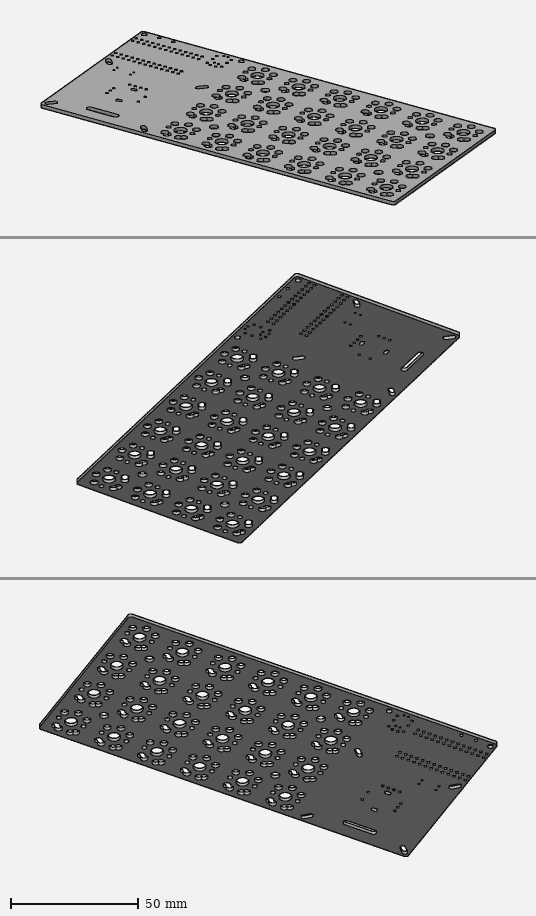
import cadquery as cq
import math

BOARD_LENGTH = 163.96
BOARD_WIDTH = 76.2
BOARD_THICKNESS = 1.58
CORNER_RADIUS = 1.27

KEY_PITCH = 19.05
KEY_COLUMNS = 6
KEY_ROWS = 4
LAST_COLUMN_X = BOARD_LENGTH / 2 - KEY_PITCH / 2
FIRST_COLUMN_X = LAST_COLUMN_X - (KEY_COLUMNS - 1) * KEY_PITCH
TOP_ROW_Y = (KEY_ROWS - 1) * KEY_PITCH / 2

STEM_DIAMETER = 5.1
PEG_DIAMETER = 1.9
PEG_OFFSET = 5.5
SOCKET_DIAMETER = 3.05
SOCKET_CENTRE_OFFSET = (0, 5.9)
SOCKET_SIDE_OFFSET = (5.0, 3.8)
LOWER_SOCKET_OUTER_OFFSET = (4.4, -4.7)
LOWER_SOCKET_INNER_OFFSET = (2.6, -5.75)

SCREW_DIAMETER = 3.5
SCREW_COLUMN_GAPS = (0, 4)
SCREW_ROW_GAPS = (0, 2)

PIN_PITCH = 2.54
HEADER_PINS = 13
HEADER_DIAMETER = 1.09
HEADER_FIRST_X = -80.55
HEADER_TOP_Y = 31.24
HEADER_ROW_SPACING = 15.24

ENCODER_X = -57.27
ENCODER_Y = -13.3
ENCODER_PIN_DIAMETER = 1.0
ENCODER_PIN_SPACING = 2.5
ENCODER_SIGNAL_OFFSET = 7.5
ENCODER_SWITCH_OFFSET = 7.0
ENCODER_TAB_OFFSET = 5.6
ENCODER_TAB_LENGTH = 2.6
ENCODER_TAB_WIDTH = 1.5

MOUNT_DIAMETER = 2.2
MOUNT_SPACING = 45.0
MOUNT_SLOT_RUN = 2.0
MOUNT_HOLE_Y = 35.85
DIAGONAL_ANGLE = 45

CABLE_SLOT_LENGTH = 14.5
CABLE_SLOT_WIDTH = 2.5
CABLE_SLOT_RADIUS = 1.2
CABLE_SLOT_Y = -31.0

DISPLAY_PINS = 4
DISPLAY_PIN_DIAMETER = 1.0
DISPLAY_HEADER_Y = -4.9

JACK_X = -42.17
JACK_PIN_DIAMETER = 1.0
JACK_PIN_PAIRS = ((3.3, 34.8), (3.3, 31.75), (3.3, 27.69), (1.27, 26.67))
JACK_PEG_DIAMETER = 0.8
JACK_PEG_PAIRS = ((1.0, 36.3), (1.0, 29.2))

POWER_PEG_DIAMETER = 1.3
POWER_PEG_XS = (-73.1, -66.6)
POWER_PEG_Y = 36.4

RESET_LEAD_DIAMETER = 0.7
RESET_X = -69.34
RESET_Y = 4.06
RESET_SPAN_X = 7.62
RESET_SPAN_Y = 2.54


def round_holes(diameter, points):
    return cq.Workplane("XY").pushPoints(points).circle(diameter / 2).extrude(BOARD_THICKNESS)


def mirrored(offset, centre_x=0):
    """Two points at the same Y, at equal distances left and right of centre_x."""
    half_spacing, y = offset
    return [(centre_x - half_spacing, y), (centre_x + half_spacing, y)]


def slot(x, y, length, width, angle=0):
    return cq.Workplane("XY").center(x, y).slot2D(length, width, angle).extrude(BOARD_THICKNESS)


def key_cutters():
    centres = [
        (FIRST_COLUMN_X + column * KEY_PITCH, TOP_ROW_Y - row * KEY_PITCH)
        for column in range(KEY_COLUMNS)
        for row in range(KEY_ROWS)
    ]

    def at_each_key(offsets):
        return [(x + dx, y + dy) for x, y in centres for dx, dy in offsets]

    return [
        round_holes(STEM_DIAMETER, centres),
        round_holes(PEG_DIAMETER, at_each_key(mirrored((PEG_OFFSET, 0)))),
        round_holes(SOCKET_DIAMETER, at_each_key([SOCKET_CENTRE_OFFSET])),
        round_holes(SOCKET_DIAMETER, at_each_key(mirrored(SOCKET_SIDE_OFFSET))),
        round_holes(SOCKET_DIAMETER, at_each_key(mirrored(LOWER_SOCKET_OUTER_OFFSET))),
        round_holes(SOCKET_DIAMETER, at_each_key(mirrored(LOWER_SOCKET_INNER_OFFSET))),
    ]


def screw_cutters():
    points = [
        (FIRST_COLUMN_X + (column + 0.5) * KEY_PITCH, TOP_ROW_Y - (row + 0.5) * KEY_PITCH)
        for column in SCREW_COLUMN_GAPS
        for row in SCREW_ROW_GAPS
    ]
    return [round_holes(SCREW_DIAMETER, points)]


def header_cutters():
    points = [
        (HEADER_FIRST_X + pin * PIN_PITCH, HEADER_TOP_Y - shift - row)
        for pin in range(HEADER_PINS)
        for shift in (0, PIN_PITCH)
        for row in (0, HEADER_ROW_SPACING)
    ]
    return [round_holes(HEADER_DIAMETER, points)]


def encoder_cutters():
    signal_pins = [
        (ENCODER_X - ENCODER_SIGNAL_OFFSET, ENCODER_Y + step * ENCODER_PIN_SPACING)
        for step in (-1, 0, 1)
    ]
    switch_pins = [
        (ENCODER_X + ENCODER_SWITCH_OFFSET, ENCODER_Y + side * ENCODER_PIN_SPACING)
        for side in (-1, 1)
    ]
    tabs = [
        slot(ENCODER_X, ENCODER_Y + side * ENCODER_TAB_OFFSET, ENCODER_TAB_LENGTH, ENCODER_TAB_WIDTH)
        for side in (-1, 1)
    ]
    return [round_holes(ENCODER_PIN_DIAMETER, signal_pins + switch_pins)] + tabs


def mount_cutters():
    cutters = [round_holes(MOUNT_DIAMETER, mirrored((MOUNT_SPACING / 2, MOUNT_HOLE_Y), ENCODER_X))]
    slot_centre_offset = MOUNT_SPACING / 2 - MOUNT_SLOT_RUN / 2
    slot_length = MOUNT_SLOT_RUN * math.sqrt(2) + MOUNT_DIAMETER
    for side_x in (-1, 1):
        for side_y in (-1, 1):
            x = ENCODER_X + side_x * slot_centre_offset
            y = ENCODER_Y + side_y * slot_centre_offset
            cutters.append(slot(x, y, slot_length, MOUNT_DIAMETER, DIAGONAL_ANGLE * side_x * side_y))
    return cutters


def cable_slot_cutter():
    return (
        cq.Workplane("XY")
        .center(ENCODER_X, CABLE_SLOT_Y)
        .rect(CABLE_SLOT_LENGTH, CABLE_SLOT_WIDTH)
        .extrude(BOARD_THICKNESS)
        .edges("|Z")
        .fillet(CABLE_SLOT_RADIUS)
    )


def display_cutter():
    first_x = ENCODER_X - (DISPLAY_PINS - 1) * PIN_PITCH / 2
    points = [(first_x + pin * PIN_PITCH, DISPLAY_HEADER_Y) for pin in range(DISPLAY_PINS)]
    return round_holes(DISPLAY_PIN_DIAMETER, points)


def jack_cutters():
    pins = [point for pair in JACK_PIN_PAIRS for point in mirrored(pair, JACK_X)]
    pegs = [point for pair in JACK_PEG_PAIRS for point in mirrored(pair, JACK_X)]
    return [round_holes(JACK_PIN_DIAMETER, pins), round_holes(JACK_PEG_DIAMETER, pegs)]


def power_cutter():
    return round_holes(POWER_PEG_DIAMETER, [(x, POWER_PEG_Y) for x in POWER_PEG_XS])


def reset_cutter():
    points = [
        (RESET_X + side_x * RESET_SPAN_X / 2, RESET_Y + side_y * RESET_SPAN_Y / 2)
        for side_x in (-1, 1)
        for side_y in (-1, 1)
    ]
    return round_holes(RESET_LEAD_DIAMETER, points)


board = (
    cq.Workplane("XY")
    .rect(BOARD_LENGTH, BOARD_WIDTH)
    .extrude(BOARD_THICKNESS)
    .edges("|Z")
    .fillet(CORNER_RADIUS)
)

cutters = (
    key_cutters()
    + screw_cutters()
    + header_cutters()
    + encoder_cutters()
    + mount_cutters()
    + [cable_slot_cutter(), display_cutter()]
    + jack_cutters()
    + [power_cutter(), reset_cutter()]
)
for cutter in cutters:
    board = board.cut(cutter)

result = board